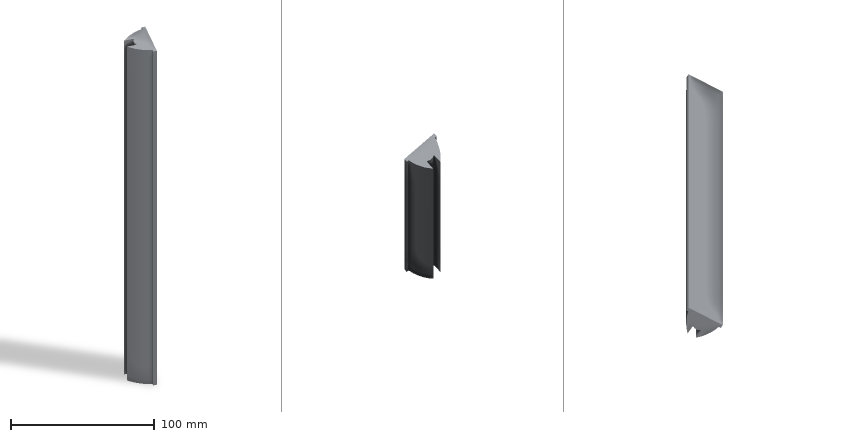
import cadquery as cq

length = 300.0
width = 28.0
depth = 18.5
flange_thickness = 2.7
body_width = 24.5
slot_width = 7.0
slot_corner_y = -11.0
slot_crown = 1.5
corner_radius = 0.45
flank_mid_x = 9.3
flank_mid_y = -10.8

half_width = width / 2
half_body = body_width / 2
half_slot = slot_width / 2

profile = (
    cq.Workplane("XY")
    .moveTo(-half_width, 0)
    .lineTo(half_width, 0)
    .lineTo(half_width, -flange_thickness)
    .lineTo(half_body, -flange_thickness)
    .threePointArc((flank_mid_x, flank_mid_y), (half_slot, -depth))
    .lineTo(half_slot, slot_corner_y)
    .threePointArc((0, slot_corner_y - slot_crown), (-half_slot, slot_corner_y))
    .lineTo(-half_slot, -depth)
    .threePointArc((-flank_mid_x, flank_mid_y), (-half_body, -flange_thickness))
    .lineTo(-half_width, -flange_thickness)
    .close()
)
strip = profile.extrude(length)

result = strip
for corner_x in (-half_slot, half_slot):
    corner = cq.selectors.NearestToPointSelector((corner_x, slot_corner_y, length / 2))
    result = result.edges("|Z").edges(corner).fillet(corner_radius)